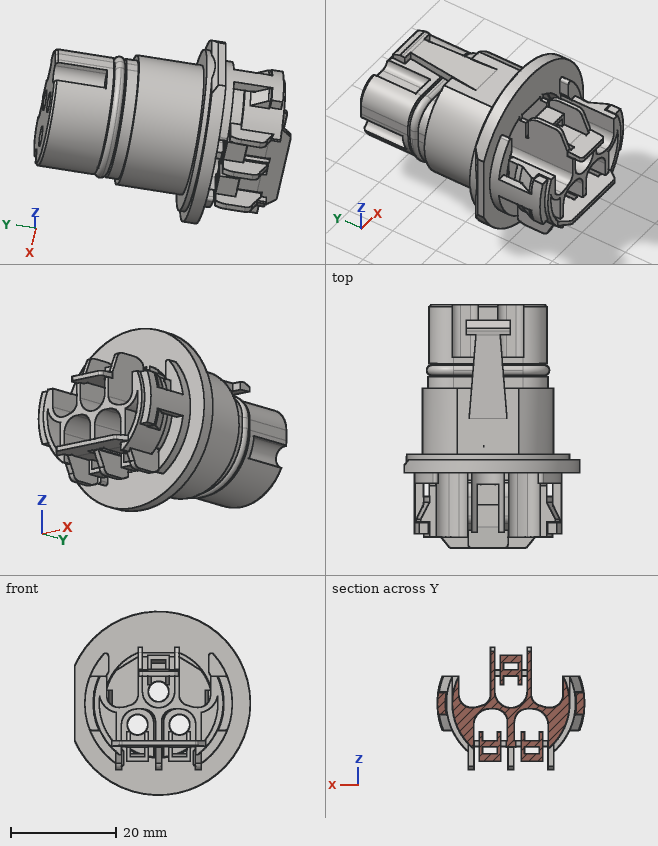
import cadquery as cq
import math


ARC_MIDDLE = 1 - math.sqrt(0.5)

FLANGE_RADIUS = 17.5
FLANGE_BACK_Y = 2.55
FLANGE_FLAT_X = -16.0
FLAT_BEVEL_START_Y = 1.45
FLAT_BEVEL_INSET = 0.93
STEP_RADIUS = 15.55
STEP_BACK_Y = 3.58
STEP_DEPTH_IN_FLANGE = 1.0
BODY_RADIUS = 12.5
BODY_FLAT_Z = 11.05
BODY_BACK_Y = 16.15

TUBE_HALF_WIDTH = 11.25
TUBE_TOP_Z = 6.7
TUBE_CORNER_RADIUS = 4.65
TUBE_FRONT_Y = 20.8
TUBE_BACK_Y = 32.05
TUBE_CHAMFER = 0.45
NECK_BACK_Y = 18.33
NECK_GROWTH = 0.2
GROOVE_GROWTH = -1.5
RING_GROWTH = 0.45
RING_SECTION_RADIUS = 0.98
RING_CENTER_Y = 19.54
KEYWAY_FRONT_Y = 22.07
KEYWAY_INNER_X = 1.87
KEYWAY_OUTER_X = 6.8
KEYWAY_DEPTH = 1.6
KEYWAY_CORNER_RADIUS = 1.55
SIDE_GROOVE_RADIUS = 2.13
SIDE_GROOVE_Z = -3.07
SIDE_GROOVE_AXIS_X = 10.4

LATCH_FOOT_Y = 10.44
LATCH_FOOT_HALF_WIDTH = 3.6
LATCH_NECK_Y = 26.35
LATCH_NECK_HALF_WIDTH = 2.3
LATCH_NECK_TOP_Z = 11.7
LATCH_NECK_BOTTOM_Z = 10.15
LATCH_ROOT_BOTTOM_Z = 9.56
LATCH_HEAD_HALF_WIDTH = 4.19
LATCH_TIP_Y = 29.1
LATCH_TIP_TOP_Z = 11.2
LATCH_TIP_BOTTOM_Z = 10.3
LATCH_CREST_BACK_Y = 27.5
LATCH_CREST_FRONT_Y = 27.05
LATCH_CREST_Z = 11.8

BORE_RADIUS = 10.4
BORE_FLAT_Z = 9.66
BORE_FLOOR_Y = 14.0
INNER_BORE_START_Y = FLANGE_BACK_Y
INNER_BORE_RADIUS = 10.25
INNER_BORE_FLAT_Z = 8.85
INNER_BORE_FLAT_HALF_WIDTH = 3.9
INNER_BORE_SHOULDER_X = 8.1
HOLE_RADIUS = 1.93
CHANNEL_RADIUS = 3.07
UPPER_CONTACT_Z = 2.23
LOWER_CONTACT_X = 4.0
LOWER_CONTACT_Z = -4.07
LOWER_CHANNEL_OUTER_X = 7.07
LOWER_CHANNEL_CORNER = 3.0
LOWER_CHANNEL_INNER_CORNER = 2.5
MIDDLE_WALL_BACK_HALF = 0.95
MIDDLE_WALL_FRONT_HALF = 0.57
BORE_RIB_MOUTH_X = 9.5
BORE_RIB_FLOOR_X = 8.85
BORE_RIB_TOP_Z = 2.47
BORE_RIB_BOTTOM_Z = -1.2

BLOCK_FRONT_Y = -12.24
BLOCK_STEP_Y = -4.45
BLOCK_BACK_RADIUS = 11.2
BLOCK_RADIUS = 12.3
BLOCK_TOP_Z = 5.2
BLOCK_BOTTOM_Z = -9.75
TROUGH_OUTER_X = 9.9
TROUGH_BOTTOM_Z = -0.8
TROUGH_CORNER_RADIUS = 2.4
TROUGH_RISE_MIDDLE = (6.55, -0.7)
TROUGH_RISE_END = (5.55, -0.4)
TROUGH_BEND_MIDDLE = (4.35, 0.35)
UPPER_WALL_FOOT_Z = 1.4
UPPER_WALL_OUTER_X = 3.9
LOWER_WALL_OUTER_X = 8.1
LUG_OUTER_X = 11.2
LUG_BACK_Y = -2.4
SIDE_POCKET_RADIUS = 11.3
SIDE_POCKET_FLOOR_Y = -5.4
SIDE_POCKET_TIP_Z = 1.3
SIDE_POCKET_TOP_MIDDLE = (9.85, -0.92)
SIDE_POCKET_CORNER_Z = -1.74

CATCH_RADIUS = 14.05
CATCH_INNER_RADIUS = 12.45
COLLAR_INNER_RADIUS = 11.25
COLLAR_FRONT_Y = -2.0
COLLAR_UPPER_X = 9.53
COLLAR_LOWER_X = 6.6
COLLAR_TIP_RADIUS = 0.55
CATCH_ARM_HALF_HEIGHT = 2.1
CATCH_BAR_HALF_HEIGHT = 5.12
CATCH_BAR_BACK_Y = -9.45
CATCH_BAR_FRONT_Y = -11.6
RAMP_BACK_Y = -5.6
RAMP_CREST_Y = -8.85
RAMP_FRONT_Y = -9.3
RAMP_RADIUS = 13.85
RAMP_CLEARANCE = 0.1

PLATE_TIP_Y = -14.3
PLATE_THICKNESS = 1.25
PLATE_TIP_THICKNESS = 0.9
PLATE_SLOPE_START_Y = -10.2
UPPER_PLATE_BOTTOM_Z = BLOCK_TOP_Z
UPPER_PLATE_HALF_WIDTH = 3.8
UPPER_PLATE_CORNER = 0.7
LOWER_PLATE_TOP_Z = -7.1
LOWER_PLATE_HALF_WIDTH = 8.95
LOWER_PLATE_TIP_HALF_WIDTH = 7.3
LOWER_PLATE_CORNER = 0.6
PLATE_BACK_Y = -2.2
UPPER_FIN_TOP_Z = 10.72
UPPER_FIN_WIDTH = UPPER_WALL_OUTER_X - CHANNEL_RADIUS
UPPER_FIN_BACK_Y = -1.9
UPPER_FIN_BACK_TOP_Z = 9.55
UPPER_FIN_SHOULDER_Z = 9.7
UPPER_FIN_FOOT_Y = -10.95
UPPER_FIN_ROOT_FRONT_Y = -1.4
FIN_CREST_BACK_Y = -4.5
FIN_CREST_FRONT_Y = -8.15
FIN_SHOULDER_Y = -9.55
LOWER_FIN_DEPTH = 12.65
LOWER_FIN_BACK_Y = -2.45
LOWER_FIN_BACK_DEPTH = 12.0
LOWER_FIN_SHOULDER_DEPTH = 11.4
LOWER_FIN_FOOT_Y = -11.2
LOWER_FIN_WIDTH = 1.15
LOWER_FIN_X = 7.6
CLIP_FRONT_Y = -6.1
CLIP_HALF_WIDTH = 2.07
CLIP_WALL = 0.68
CLIP_HEIGHT = 2.72
CLIP_TOP_FRONT_THICKNESS = 0.87
CLIP_TOP_BACK_THICKNESS = 1.5
CLIP_LEG_LENGTH = 1.65
CLIP_LEG_TIP_FRONT_Y = -4.5
SLOT_FRONT_Y = -11.25


def box(x_range, y_range, z_range):
    size = [high - low for low, high in (x_range, y_range, z_range)]
    corner = (x_range[0], y_range[0], z_range[0])
    return cq.Workplane("XY").box(*size, centered=False).translate(corner)


def section(back_y):
    """Workplane across the axis, from which solids are extruded forwards (towards -Y)."""
    return cq.Workplane("XZ", origin=(0, back_y, 0))


def disc(radius, front_y, back_y):
    return section(back_y).circle(radius).extrude(back_y - front_y)


def both_sides(solid):
    """The solid together with its mirror image across the X = 0 plane."""
    return solid.union(solid.mirror("YZ"))



def make_flange():
    flange = disc(FLANGE_RADIUS, 0, FLANGE_BACK_Y)
    beyond = -2 * FLANGE_RADIUS
    flat = (
        cq.Workplane("XY", origin=(0, 0, -FLANGE_RADIUS))
        .polyline([
            (beyond, 0),
            (FLANGE_FLAT_X, 0),
            (FLANGE_FLAT_X, FLAT_BEVEL_START_Y),
            (FLANGE_FLAT_X + FLAT_BEVEL_INSET, FLANGE_BACK_Y),
            (beyond, FLANGE_BACK_Y),
        ])
        .close()
        .extrude(2 * FLANGE_RADIUS)
    )
    step = disc(STEP_RADIUS, FLANGE_BACK_Y - STEP_DEPTH_IN_FLANGE, STEP_BACK_Y)
    return flange.cut(flat).union(step)


def make_body():
    body = disc(BODY_RADIUS, 0, BODY_BACK_Y)
    keep = box((-BODY_RADIUS, BODY_RADIUS), (0, BODY_BACK_Y), (-BODY_RADIUS, BODY_FLAT_Z))
    return body.intersect(keep)


def tube_outline(y, growth=0.0):
    """Half round below Z = 0, with a flat top and rounded upper corners; growth offsets it outwards."""
    half = TUBE_HALF_WIDTH + growth
    top = TUBE_TOP_Z + growth
    corner = TUBE_CORNER_RADIUS + growth
    corner_mid = corner * ARC_MIDDLE
    return (
        section(y)
        .moveTo(half, 0)
        .lineTo(half, top - corner)
        .threePointArc((half - corner_mid, top - corner_mid), (half - corner, top))
        .lineTo(corner - half, top)
        .threePointArc((corner_mid - half, top - corner_mid), (-half, top - corner))
        .lineTo(-half, 0)
        .threePointArc((0, -half), (half, 0))
        .close()
    )


def tube_solid(front_y, back_y, growth=0.0):
    return tube_outline(back_y, growth).extrude(back_y - front_y)


def make_keyways():
    top_keyway = (
        box(
            (KEYWAY_INNER_X, KEYWAY_OUTER_X),
            (KEYWAY_FRONT_Y, TUBE_BACK_Y),
            (TUBE_TOP_Z - KEYWAY_DEPTH, TUBE_TOP_Z + KEYWAY_DEPTH),
        )
        .edges("|Y and <Z")
        .fillet(KEYWAY_CORNER_RADIUS)
    )
    side_groove = (
        disc(SIDE_GROOVE_RADIUS, KEYWAY_FRONT_Y, TUBE_BACK_Y)
        .translate((SIDE_GROOVE_AXIS_X, 0, SIDE_GROOVE_Z))
        .union(
            box(
                (SIDE_GROOVE_AXIS_X, TUBE_HALF_WIDTH),
                (KEYWAY_FRONT_Y, TUBE_BACK_Y),
                (SIDE_GROOVE_Z - SIDE_GROOVE_RADIUS, SIDE_GROOVE_Z + SIDE_GROOVE_RADIUS),
            )
        )
    )
    return both_sides(top_keyway.union(side_groove))


def make_seal_ring():
    """Round cord that follows the outline of the tube."""
    path = tube_outline(RING_CENTER_Y, RING_GROWTH - RING_SECTION_RADIUS)
    start_x = TUBE_HALF_WIDTH + RING_GROWTH - RING_SECTION_RADIUS
    cord = cq.Workplane("XY", origin=(start_x, RING_CENTER_Y, 0)).circle(RING_SECTION_RADIUS)
    return cord.sweep(path)


def make_plug_tube():
    tube = tube_solid(TUBE_FRONT_Y, TUBE_BACK_Y).faces(">Y").chamfer(TUBE_CHAMFER)
    tube = tube.cut(make_keyways())
    neck = tube_solid(BODY_BACK_Y, NECK_BACK_Y, NECK_GROWTH)
    groove_root = tube_solid(NECK_BACK_Y, TUBE_FRONT_Y, GROOVE_GROWTH)
    return tube.union(neck).union(groove_root).union(make_seal_ring())


def make_latch():
    arm_side = (
        cq.Workplane("YZ", origin=(-LATCH_FOOT_HALF_WIDTH, 0, 0))
        .polyline([
            (LATCH_FOOT_Y, BODY_FLAT_Z),
            (LATCH_NECK_Y, LATCH_NECK_TOP_Z),
            (LATCH_NECK_Y, LATCH_NECK_BOTTOM_Z),
            (BODY_BACK_Y, LATCH_ROOT_BOTTOM_Z),
        ])
        .close()
        .extrude(2 * LATCH_FOOT_HALF_WIDTH)
    )
    arm_plan = (
        cq.Workplane("XY")
        .polyline([
            (-LATCH_FOOT_HALF_WIDTH, LATCH_FOOT_Y),
            (LATCH_FOOT_HALF_WIDTH, LATCH_FOOT_Y),
            (LATCH_NECK_HALF_WIDTH, LATCH_NECK_Y),
            (-LATCH_NECK_HALF_WIDTH, LATCH_NECK_Y),
        ])
        .close()
        .extrude(2 * BODY_RADIUS)
    )
    head = (
        cq.Workplane("YZ", origin=(-LATCH_HEAD_HALF_WIDTH, 0, 0))
        .polyline([
            (LATCH_NECK_Y, LATCH_NECK_BOTTOM_Z),
            (LATCH_NECK_Y, LATCH_NECK_TOP_Z),
            (LATCH_CREST_FRONT_Y, LATCH_CREST_Z),
            (LATCH_CREST_BACK_Y, LATCH_CREST_Z),
            (LATCH_TIP_Y, LATCH_TIP_TOP_Z),
            (LATCH_TIP_Y, LATCH_TIP_BOTTOM_Z),
        ])
        .close()
        .extrude(2 * LATCH_HEAD_HALF_WIDTH)
    )
    return arm_side.intersect(arm_plan).union(head)



def make_block():
    block = disc(BLOCK_BACK_RADIUS, BLOCK_STEP_Y, 0).union(disc(BLOCK_RADIUS, BLOCK_FRONT_Y, BLOCK_STEP_Y))
    ramp = (
        cq.Workplane("XY")
        .polyline([
            (0, RAMP_BACK_Y),
            (BLOCK_RADIUS, RAMP_BACK_Y),
            (RAMP_RADIUS, RAMP_CREST_Y),
            (RAMP_RADIUS, RAMP_FRONT_Y),
            (0, RAMP_FRONT_Y),
        ])
        .close()
        .revolve(360, (0, 0, 0), (0, 1, 0))
    )
    arm_gap = CATCH_ARM_HALF_HEIGHT + RAMP_CLEARANCE
    ramp_zone = both_sides(
        box((LOWER_WALL_OUTER_X, CATCH_RADIUS), (RAMP_FRONT_Y, RAMP_BACK_Y), (-BLOCK_TOP_Z, BLOCK_TOP_Z))
        .cut(box((BLOCK_RADIUS, CATCH_RADIUS), (RAMP_FRONT_Y, RAMP_BACK_Y), (-arm_gap, arm_gap)))
    )
    keep = box((-CATCH_RADIUS, CATCH_RADIUS), (BLOCK_FRONT_Y, 0), (BLOCK_BOTTOM_Z, BLOCK_TOP_Z))
    lug = both_sides(box((TROUGH_OUTER_X, LUG_OUTER_X), (BLOCK_STEP_Y, LUG_BACK_Y), (0, BLOCK_TOP_Z)))
    return block.union(ramp.intersect(ramp_zone)).union(lug).intersect(keep)


def make_bore():
    """Space inside the body and flange: round with a flat top, narrower behind the mouth."""
    mouth = disc(BORE_RADIUS, 0, INNER_BORE_START_Y)
    keep = box((-BORE_RADIUS, BORE_RADIUS), (0, INNER_BORE_START_Y), (-BORE_RADIUS, BORE_FLAT_Z))
    shoulder_z = math.sqrt(INNER_BORE_RADIUS**2 - INNER_BORE_SHOULDER_X**2)
    inner = (
        section(BORE_FLOOR_Y)
        .moveTo(-INNER_BORE_FLAT_HALF_WIDTH, INNER_BORE_FLAT_Z)
        .lineTo(INNER_BORE_FLAT_HALF_WIDTH, INNER_BORE_FLAT_Z)
        .lineTo(INNER_BORE_SHOULDER_X, shoulder_z)
        .threePointArc((0, -INNER_BORE_RADIUS), (-INNER_BORE_SHOULDER_X, shoulder_z))
        .close()
        .extrude(BORE_FLOOR_Y - INNER_BORE_START_Y)
    )
    return mouth.intersect(keep).union(inner)


def make_trough():
    """Open space on one side of the upper channel, over the wall of a lower channel."""
    corner = TROUGH_CORNER_RADIUS
    corner_mid = corner * ARC_MIDDLE
    return (
        section(BORE_FLOOR_Y)
        .moveTo(BORE_RADIUS, UPPER_FIN_TOP_Z)
        .lineTo(BORE_RADIUS, BLOCK_TOP_Z)
        .lineTo(TROUGH_OUTER_X, BLOCK_TOP_Z)
        .lineTo(TROUGH_OUTER_X, TROUGH_BOTTOM_Z + corner)
        .threePointArc(
            (TROUGH_OUTER_X - corner_mid, TROUGH_BOTTOM_Z + corner_mid),
            (TROUGH_OUTER_X - corner, TROUGH_BOTTOM_Z),
        )
        .threePointArc(TROUGH_RISE_MIDDLE, TROUGH_RISE_END)
        .threePointArc(TROUGH_BEND_MIDDLE, (UPPER_WALL_OUTER_X, UPPER_WALL_FOOT_Z))
        .lineTo(UPPER_WALL_OUTER_X, UPPER_FIN_TOP_Z)
        .close()
        .extrude(BORE_FLOOR_Y - BLOCK_FRONT_Y)
    )


def make_upper_channel():
    """U-shaped channel, round about its contact and open towards the top."""
    length = BORE_FLOOR_Y - BLOCK_FRONT_Y
    round_end = section(BORE_FLOOR_Y).center(0, UPPER_CONTACT_Z).circle(CHANNEL_RADIUS).extrude(length)
    straight = box(
        (-CHANNEL_RADIUS, CHANNEL_RADIUS),
        (BLOCK_FRONT_Y, BORE_FLOOR_Y),
        (UPPER_CONTACT_Z, UPPER_FIN_TOP_Z),
    )
    return round_end.union(straight)


def lower_channel_wire(y, inner_x):
    """Outline of a lower channel: a rounded top and straight sides, open towards the bottom."""
    outer_x = LOWER_CHANNEL_OUTER_X
    outer_mid = LOWER_CHANNEL_CORNER * ARC_MIDDLE
    inner_corner = LOWER_CHANNEL_INNER_CORNER
    inner_mid = inner_corner * ARC_MIDDLE
    spring_z = LOWER_CONTACT_Z
    top_z = spring_z + LOWER_CHANNEL_CORNER
    return (
        section(y)
        .moveTo(outer_x, -BLOCK_RADIUS)
        .lineTo(outer_x, spring_z)
        .threePointArc((outer_x - outer_mid, top_z - outer_mid), (outer_x - LOWER_CHANNEL_CORNER, top_z))
        .lineTo(inner_x + inner_corner, top_z)
        .threePointArc((inner_x + inner_mid, top_z - inner_mid), (inner_x, top_z - inner_corner))
        .lineTo(inner_x, -BLOCK_RADIUS)
        .close()
        .val()
    )


def make_lower_channel():
    """Channel whose wall towards the middle gets thinner towards the front."""
    wires = [
        lower_channel_wire(BORE_FLOOR_Y, MIDDLE_WALL_BACK_HALF),
        lower_channel_wire(BLOCK_FRONT_Y, MIDDLE_WALL_FRONT_HALF),
    ]
    return cq.Workplane(obj=cq.Solid.makeLoft(wires, True))


def make_side_pocket():
    """Crescent pocket between a lower channel wall and the outer ring of the block."""
    tip_x = math.sqrt(SIDE_POCKET_RADIUS**2 - SIDE_POCKET_TIP_Z**2)
    bottom_x = math.sqrt(SIDE_POCKET_RADIUS**2 - LOWER_PLATE_TOP_Z**2)
    middle_z = (SIDE_POCKET_TIP_Z + LOWER_PLATE_TOP_Z) / 2
    middle_x = math.sqrt(SIDE_POCKET_RADIUS**2 - middle_z**2)
    return (
        section(SIDE_POCKET_FLOOR_Y)
        .moveTo(tip_x, SIDE_POCKET_TIP_Z)
        .threePointArc(SIDE_POCKET_TOP_MIDDLE, (LOWER_WALL_OUTER_X, SIDE_POCKET_CORNER_Z))
        .lineTo(LOWER_WALL_OUTER_X, LOWER_PLATE_TOP_Z)
        .lineTo(bottom_x, LOWER_PLATE_TOP_Z)
        .threePointArc((middle_x, middle_z), (tip_x, SIDE_POCKET_TIP_Z))
        .close()
        .extrude(SIDE_POCKET_FLOOR_Y - BLOCK_FRONT_Y)
    )


def make_cavities():
    """All spaces cut into the body and block, bounded by the bore inside the body."""
    below_plate = box(
        (-LOWER_CHANNEL_OUTER_X, LOWER_CHANNEL_OUTER_X),
        (BLOCK_FRONT_Y, 0),
        (-BLOCK_RADIUS, LOWER_PLATE_TOP_Z),
    )
    channels = make_upper_channel().union(both_sides(make_lower_channel())).union(below_plate)
    channels = channels.union(both_sides(make_trough()))
    rib = (
        cq.Workplane("XY", origin=(0, 0, BORE_RIB_BOTTOM_Z))
        .polyline([
            (BORE_RADIUS, 0),
            (BORE_RIB_MOUTH_X, 0),
            (BORE_RIB_FLOOR_X, BORE_FLOOR_Y),
            (BORE_RADIUS, BORE_FLOOR_Y),
        ])
        .close()
        .extrude(BORE_RIB_TOP_Z - BORE_RIB_BOTTOM_Z)
    )
    ribs = both_sides(rib)
    inside = make_bore().cut(ribs)
    outside = disc(CATCH_RADIUS, BLOCK_FRONT_Y, 0)
    return channels.intersect(inside.union(outside)).union(both_sides(make_side_pocket()))


def make_contact_holes():
    centers = [
        (0, UPPER_CONTACT_Z),
        (-LOWER_CONTACT_X, LOWER_CONTACT_Z),
        (LOWER_CONTACT_X, LOWER_CONTACT_Z),
    ]
    return section(TUBE_BACK_Y).pushPoints(centers).circle(HOLE_RADIUS).extrude(TUBE_BACK_Y - BORE_FLOOR_Y)



def catch_ring(inner_radius, front_y, back_y):
    return section(back_y).circle(CATCH_RADIUS).circle(inner_radius).extrude(back_y - front_y)


def make_catches():
    collar_zone = box(
        (COLLAR_UPPER_X, CATCH_RADIUS), (COLLAR_FRONT_Y, 0), (0, CATCH_RADIUS)
    ).union(box((COLLAR_LOWER_X, CATCH_RADIUS), (COLLAR_FRONT_Y, 0), (-CATCH_RADIUS, 0)))
    collar = catch_ring(COLLAR_INNER_RADIUS, COLLAR_FRONT_Y, 0).intersect(collar_zone)
    collar = collar.edges("|Y").edges(">Z or <Z").fillet(COLLAR_TIP_RADIUS)

    arm_half = CATCH_ARM_HALF_HEIGHT
    bar_half = CATCH_BAR_HALF_HEIGHT
    t_zone = box((0, CATCH_RADIUS), (CATCH_BAR_BACK_Y, COLLAR_FRONT_Y), (-arm_half, arm_half)).union(
        box((0, CATCH_RADIUS), (CATCH_BAR_FRONT_Y, CATCH_BAR_BACK_Y), (-bar_half, bar_half))
    )
    t_arm = catch_ring(CATCH_INNER_RADIUS, CATCH_BAR_FRONT_Y, COLLAR_FRONT_Y).intersect(t_zone)
    return both_sides(collar.union(t_arm))



def make_upper_plate():
    plate = box(
        (-UPPER_PLATE_HALF_WIDTH, UPPER_PLATE_HALF_WIDTH),
        (PLATE_TIP_Y, PLATE_BACK_Y),
        (UPPER_PLATE_BOTTOM_Z, UPPER_PLATE_BOTTOM_Z + PLATE_THICKNESS),
    )
    return plate.edges("|Z and <Y").fillet(UPPER_PLATE_CORNER)


def make_lower_plate():
    plate = (
        cq.Workplane("XY", origin=(0, 0, LOWER_PLATE_TOP_Z - PLATE_THICKNESS))
        .polyline([
            (-LOWER_PLATE_HALF_WIDTH, PLATE_BACK_Y),
            (-LOWER_PLATE_HALF_WIDTH, BLOCK_FRONT_Y),
            (-LOWER_PLATE_TIP_HALF_WIDTH, PLATE_TIP_Y),
            (LOWER_PLATE_TIP_HALF_WIDTH, PLATE_TIP_Y),
            (LOWER_PLATE_HALF_WIDTH, BLOCK_FRONT_Y),
            (LOWER_PLATE_HALF_WIDTH, PLATE_BACK_Y),
        ])
        .close()
        .extrude(PLATE_THICKNESS)
    )
    plate = plate.edges("|Z and <Y").fillet(LOWER_PLATE_CORNER)
    envelope = disc(BLOCK_BACK_RADIUS, BLOCK_STEP_Y, 0).union(disc(BLOCK_RADIUS, PLATE_TIP_Y, BLOCK_STEP_Y))
    return plate.intersect(envelope)


def level_arc_middle(crest, end):
    """Middle point of the arc that leaves the level crest of a fin and comes down to end."""
    run = end[0] - crest[0]
    drop = crest[1] - end[1]
    radius = (run**2 + drop**2) / (2 * drop)
    half_turn = math.atan2(drop, abs(run))
    half_run = math.copysign(radius * math.sin(half_turn), run)
    return (crest[0] + half_run, crest[1] - radius * (1 - math.cos(half_turn)))


def make_fin(width, root_z, back, crest_z, shoulder_z, foot):
    """Fin in the YZ plane, centred on X = 0: rounded at both ends of its crest, sloping to its foot."""
    crest_back = (FIN_CREST_BACK_Y, crest_z)
    crest_front = (FIN_CREST_FRONT_Y, crest_z)
    shoulder = (FIN_SHOULDER_Y, shoulder_z)
    return (
        cq.Workplane("YZ", origin=(-width / 2, 0, 0))
        .moveTo(back[0], root_z)
        .lineTo(*back)
        .threePointArc(level_arc_middle(crest_back, back), crest_back)
        .lineTo(*crest_front)
        .threePointArc(level_arc_middle(crest_front, shoulder), shoulder)
        .lineTo(*foot)
        .lineTo(foot[0], root_z)
        .close()
        .extrude(width)
    )


def make_upper_fin():
    fin = make_fin(
        UPPER_FIN_WIDTH,
        UPPER_CONTACT_Z,
        (UPPER_FIN_BACK_Y, UPPER_FIN_BACK_TOP_Z),
        UPPER_FIN_TOP_Z,
        UPPER_FIN_SHOULDER_Z,
        (UPPER_FIN_FOOT_Y, UPPER_PLATE_BOTTOM_Z + PLATE_THICKNESS),
    )
    return fin.translate((CHANNEL_RADIUS + UPPER_FIN_WIDTH / 2, 0, 0))


def make_upper_fin_root():
    """Wall between the channel and the trough, from the fin back to the floor of the bore."""
    return box(
        (CHANNEL_RADIUS, UPPER_WALL_OUTER_X),
        (UPPER_FIN_ROOT_FRONT_Y, BORE_FLOOR_Y),
        (UPPER_CONTACT_Z, INNER_BORE_FLAT_Z),
    )


def make_lower_fin(center_x):
    """Fin hanging below the lower plate; its profile is built upwards and mirrored."""
    fin = make_fin(
        LOWER_FIN_WIDTH,
        -LOWER_PLATE_TOP_Z,
        (LOWER_FIN_BACK_Y, LOWER_FIN_BACK_DEPTH),
        LOWER_FIN_DEPTH,
        LOWER_FIN_SHOULDER_DEPTH,
        (LOWER_FIN_FOOT_Y, PLATE_THICKNESS - LOWER_PLATE_TOP_Z),
    )
    return fin.mirror("XY").translate((center_x, 0, 0))


def make_clip():
    """Hollow screw clip standing on a plate whose inner face is at Z = 0, with two legs below it."""
    half = CLIP_HALF_WIDTH
    inner = half - CLIP_WALL
    top = PLATE_THICKNESS + CLIP_HEIGHT
    depth = (CLIP_FRONT_Y, PLATE_BACK_Y)
    clip = box((-half, half), depth, (0, top))
    window = (
        cq.Workplane("YZ", origin=(-inner, 0, 0))
        .polyline([
            (CLIP_FRONT_Y, PLATE_THICKNESS),
            (CLIP_FRONT_Y, top - CLIP_TOP_FRONT_THICKNESS),
            (PLATE_BACK_Y, top - CLIP_TOP_BACK_THICKNESS),
            (PLATE_BACK_Y, PLATE_THICKNESS),
        ])
        .close()
        .extrude(2 * inner)
    )
    leg = (
        cq.Workplane("YZ", origin=(inner, 0, 0))
        .polyline([
            (CLIP_FRONT_Y, 0),
            (CLIP_LEG_TIP_FRONT_Y, -CLIP_LEG_LENGTH),
            (PLATE_BACK_Y, -CLIP_LEG_LENGTH),
            (PLATE_BACK_Y, 0),
        ])
        .close()
        .extrude(CLIP_WALL)
    )
    return clip.cut(window).union(both_sides(leg))


def make_plate_slope():
    """Wedge that thins a plate towards its tip, for a plate whose inner face is at Z = 0."""
    return (
        cq.Workplane("YZ", origin=(-BLOCK_RADIUS, 0, 0))
        .polyline([
            (PLATE_SLOPE_START_Y, PLATE_THICKNESS),
            (PLATE_TIP_Y, PLATE_THICKNESS),
            (PLATE_TIP_Y, PLATE_TIP_THICKNESS),
        ])
        .close()
        .extrude(2 * BLOCK_RADIUS)
    )


def make_plate_slots():
    """Slots that free the tongue carrying a clip from the plate beside it."""
    return both_sides(
        box((CLIP_HALF_WIDTH, CHANNEL_RADIUS), (SLOT_FRONT_Y, PLATE_BACK_Y), (0, PLATE_THICKNESS))
    )


def place_upper(solid):
    return solid.translate((0, 0, UPPER_PLATE_BOTTOM_Z))


def place_lower(solid, center_x):
    return solid.mirror("XY").translate((center_x, 0, LOWER_PLATE_TOP_Z))


def make_covers():
    slope = make_plate_slope()
    upper = make_upper_plate().cut(place_upper(slope)).cut(place_upper(make_plate_slots()))
    upper = upper.union(place_upper(make_clip()))
    lower = make_lower_plate().cut(place_lower(slope, 0))
    for center_x in (-LOWER_CONTACT_X, LOWER_CONTACT_X):
        lower = lower.cut(place_lower(make_plate_slots(), center_x))
        lower = lower.union(place_lower(make_clip(), center_x))
    return upper.union(lower)


def make_fins():
    fins = both_sides(make_upper_fin().union(make_upper_fin_root()))
    for center_x in (-LOWER_FIN_X, 0, LOWER_FIN_X):
        fins = fins.union(make_lower_fin(center_x))
    return fins


housing = make_flange().union(make_body()).union(make_plug_tube()).union(make_latch())
housing = housing.union(make_block()).cut(make_cavities()).cut(make_contact_holes())
result = housing.union(make_catches()).union(make_fins()).union(make_covers())